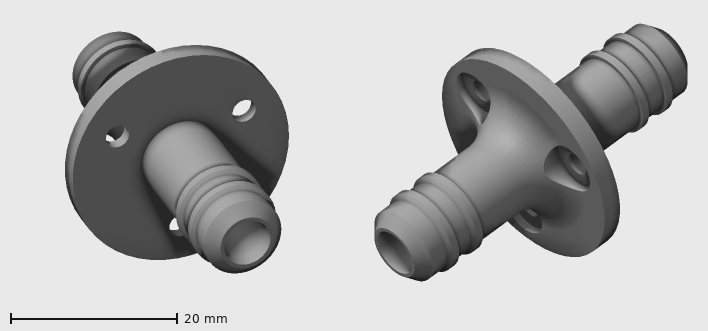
import cadquery as cq
import math

length = 46.0
half_length = length / 2
tube_radius = 10.0 / 2
bore_diameter = 6.0

tip_chamfer = 1.5
barb_radius = 11.0 / 2
barb_width = 1.5
barb_ramp = barb_radius - tube_radius
first_barb_inset = 4.0
barb_pitch = 4.0
barbs_per_end = 2

flange_radius = 28.0 / 2
flange_thickness = 2.58
flange_face = -flange_thickness / 2
flare_radius = 5.0

screw_count = 3
screw_circle_radius = 9.48
screw_diameter = 3.0
counterbore_diameter = 6.5
counterbore_depth = 1.0


def revolve_about_x(profile):
    """Spin an XY profile a full turn about the X axis."""
    return profile.close().revolve(360, (0, 0, 0), (1, 0, 0))


def cylinder_along_x(start, end, diameter, y=0, z=0):
    return (
        cq.Workplane("YZ", origin=(start, y, z))
        .circle(diameter / 2)
        .extrude(end - start)
    )


def make_tube():
    tube = cylinder_along_x(-half_length, half_length, 2 * tube_radius)
    return tube.faces("<X or >X").chamfer(tip_chamfer)


def make_barb(start):
    """Ring on the -X end whose ramp starts at the given X position."""
    end = start + barb_width
    return revolve_about_x(
        cq.Workplane("XY")
        .moveTo(start, 0)
        .lineTo(start, tube_radius)
        .lineTo(start + barb_ramp, barb_radius)
        .lineTo(end, barb_radius)
        .lineTo(end, 0)
    )


def make_flared_flange():
    flare_start = flange_face - flare_radius
    flare_rim = tube_radius + flare_radius
    arc_middle = (
        flare_start + flare_radius * math.sin(math.pi / 4),
        flare_rim - flare_radius * math.cos(math.pi / 4),
    )
    return revolve_about_x(
        cq.Workplane("XY")
        .moveTo(flare_start, 0)
        .lineTo(flare_start, tube_radius)
        .threePointArc(arc_middle, (flange_face, flare_rim))
        .lineTo(flange_face, flange_radius)
        .lineTo(-flange_face, flange_radius)
        .lineTo(-flange_face, 0)
    )


flange = make_flared_flange()
for index in range(screw_count):
    angle = -math.pi / 2 + index * 2 * math.pi / screw_count
    y = screw_circle_radius * math.cos(angle)
    z = screw_circle_radius * math.sin(angle)
    seat = flange_face + counterbore_depth
    flange = flange.cut(cylinder_along_x(flange_face, -flange_face, screw_diameter, y, z))
    flange = flange.cut(
        cylinder_along_x(flange_face - flare_radius, seat, counterbore_diameter, y, z)
    )

body = make_tube().union(flange)
for index in range(barbs_per_end):
    barb = make_barb(-half_length + first_barb_inset + index * barb_pitch)
    body = body.union(barb).union(barb.mirror("YZ"))

result = body.cut(cylinder_along_x(-half_length, half_length, bore_diameter))